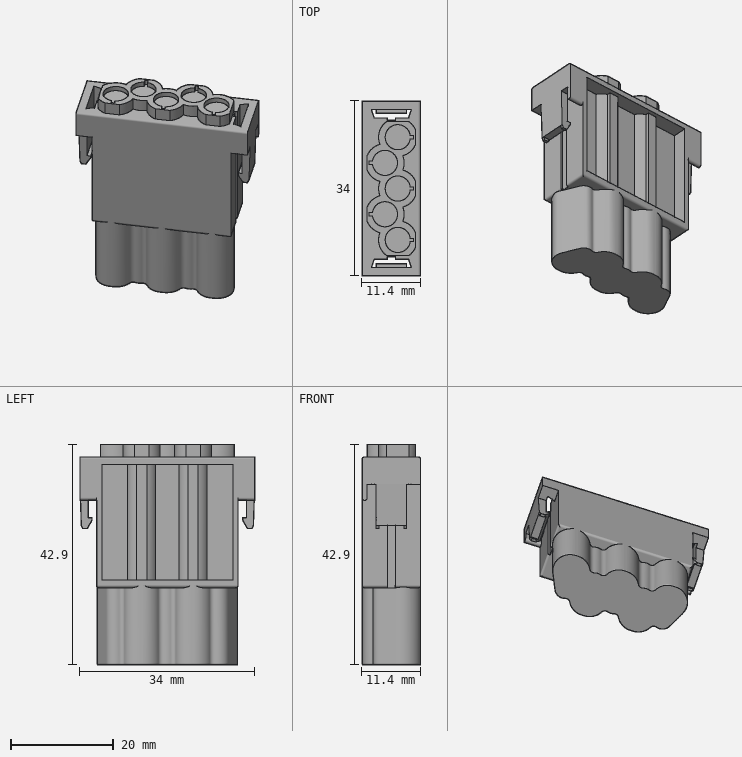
import cadquery as cq
import math

WIDTH = 11.4
LENGTH = 34.0
HEIGHT = 42.9

ROW_SPAN = 20.0
PITCH = ROW_SPAN / 4
STAGGER = 1.25

HOUSING_BOTTOM = 14.97
SKIRT_BOTTOM = 32.0
FLANGE_BOTTOM = 35.1
FLANGE_TOP = 40.45

HOUSING_LENGTH = 27.55
EDGE_ROUND = 0.47
SKIRT_THICKNESS = 1.0
GROOVE_WIDTH = 1.6
GROOVE_DEPTH = 0.47

POCKET_LENGTH = 25.5
POCKET_BOTTOM = 16.47
POCKET_TOP = 38.95
POCKET_DEPTH = 3.0
RIB_RADIUS = 3.1
RIB_KEY_WIDTH = 2.0
RIB_KEY_DEPTH = 0.8

COLLAR_RADIUS = 3.75
COLLAR_WIDTH = 9.4
COLLAR_LENGTH = 26.1
BORE_DIAMETER = 4.9
BORE_DEPTH = 1.0
KEY_WIDTH = 0.65
KEY_REACH = 3.1

PLUG_HEIGHT = HOUSING_BOTTOM + EDGE_ROUND
LOBE_RADIUS = 3.4
LOBE_TIP_FLAT = 0.6
BUMP_DIAMETER = 4.0
BUMP_CENTER_X = 1.6
VALLEY_ROUND = 0.85
VALLEY_INNER_X = 2.8
VALLEY_OUTER_X = 3.85
RIM_BEVEL_HEIGHT = 0.3
RIM_BEVEL_INSET = 0.065

SLOT_OUTER_WIDTH = 7.72
SLOT_INNER_WIDTH = 6.65
LATCH_WIDTH = 5.9
LATCH_INNER_Y = 15.35
LATCH_TIP_OUTER_Y = 16.77
LATCH_BOTTOM = 26.5
LATCH_TIP_CHAMFER = 0.6
BARB_TIP_Y = 14.65
BARB_TOP = 28.6
BARB_LIP = 0.47
BARB_TOE_Y = 15.57
TIP_GAP_WIDTH = 4.9

HALF_WIDTH = WIDTH / 2
HALF_LENGTH = LENGTH / 2
HOUSING_END = HOUSING_LENGTH / 2

CONTACTS = [(1, -2), (-1, -1), (1, 0), (-1, 1), (1, 2)]


def block(x0, x1, y0, y1, z0, z1):
    """Axis-aligned box between two corners."""
    return cq.Workplane("XY").box(x1 - x0, y1 - y0, z1 - z0, centered=False).translate((x0, y0, z0))


def cylinder(x, y, radius, z0, z1):
    """Vertical cylinder between two levels."""
    return cq.Workplane("XY", origin=(x, y, z0)).circle(radius).extrude(z1 - z0)


def both_ends(shape):
    """The shape at the +Y end together with its mirror image at the -Y end."""
    return shape.union(shape.mirror("XZ"))


def make_housing():
    """Central block, rounded along its lower edges."""
    housing = block(-HALF_WIDTH, HALF_WIDTH, -HOUSING_END, HOUSING_END, HOUSING_BOTTOM, FLANGE_TOP)
    return housing.faces("<Z").edges().fillet(EDGE_ROUND)


def make_flange():
    """Top flange with a skirt hanging down along its -X side."""
    skirt_x = SKIRT_THICKNESS - HALF_WIDTH
    skirt = block(-HALF_WIDTH, skirt_x, -HALF_LENGTH, HALF_LENGTH, SKIRT_BOTTOM, FLANGE_TOP)
    skirt = skirt.faces("<Z").edges("|Y").fillet(EDGE_ROUND)
    flange = block(-HALF_WIDTH, HALF_WIDTH, -HALF_LENGTH, HALF_LENGTH, FLANGE_BOTTOM, FLANGE_TOP)
    return flange.union(skirt)


def make_slot():
    """Trapezoidal latch slot through the +Y end of the flange."""
    outline = [
        (-SLOT_INNER_WIDTH / 2, HOUSING_END),
        (SLOT_INNER_WIDTH / 2, HOUSING_END),
        (SLOT_OUTER_WIDTH / 2, LATCH_INNER_Y),
        (-SLOT_OUTER_WIDTH / 2, LATCH_INNER_Y),
    ]
    slot = cq.Workplane("XY", origin=(0, 0, FLANGE_BOTTOM)).polyline(outline).close()
    return slot.extrude(FLANGE_TOP - FLANGE_BOTTOM)


def make_groove():
    """Guide groove down the +Y end of the housing."""
    half = GROOVE_WIDTH / 2
    return block(-half, half, HOUSING_END - GROOVE_DEPTH, HOUSING_END, HOUSING_BOTTOM, FLANGE_TOP)


def make_latch():
    """Tapered latch arm with an inward barb and a forked tip, at the +Y end."""
    profile = [
        (LATCH_INNER_Y, FLANGE_BOTTOM),
        (HALF_LENGTH, FLANGE_BOTTOM),
        (LATCH_TIP_OUTER_Y, LATCH_BOTTOM + LATCH_TIP_CHAMFER),
        (LATCH_TIP_OUTER_Y - LATCH_TIP_CHAMFER / 2, LATCH_BOTTOM),
        (BARB_TOE_Y, LATCH_BOTTOM),
        (BARB_TIP_Y, BARB_TOP - BARB_LIP),
        (BARB_TIP_Y, BARB_TOP),
        (LATCH_INNER_Y, BARB_TOP),
    ]
    arm = cq.Workplane("YZ").polyline(profile).close().extrude(LATCH_WIDTH / 2, both=True)
    gap = block(-TIP_GAP_WIDTH / 2, TIP_GAP_WIDTH / 2, HOUSING_END, HALF_LENGTH,
                LATCH_BOTTOM, LATCH_BOTTOM + LATCH_TIP_CHAMFER)
    return arm.cut(gap)


def make_pocket():
    """Recess in the -X side with two round ribs left standing, each carrying a flat key rail."""
    half = POCKET_LENGTH / 2
    half_key = RIB_KEY_WIDTH / 2
    floor_x = POCKET_DEPTH - HALF_WIDTH
    key_x = RIB_KEY_DEPTH - HALF_WIDTH
    pocket = block(-HALF_WIDTH, floor_x, -half, half, POCKET_BOTTOM, POCKET_TOP)
    for side, row in CONTACTS:
        if side < 0:
            y = row * PITCH
            rib = cylinder(-STAGGER, y, RIB_RADIUS, POCKET_BOTTOM, POCKET_TOP)
            key = block(key_x, floor_x, y - half_key, y + half_key, POCKET_BOTTOM, POCKET_TOP)
            pocket = pocket.cut(rib).cut(key)
    return pocket


def make_collar():
    """Five merged rings trimmed flat, each with a shallow keyed recess."""
    rings = cq.Workplane("XY")
    recesses = cq.Workplane("XY")
    recess_floor = HEIGHT - BORE_DEPTH
    half_key = KEY_WIDTH / 2
    for side, row in CONTACTS:
        x = side * STAGGER
        y = row * PITCH
        rings = rings.union(cylinder(x, y, COLLAR_RADIUS, FLANGE_TOP, HEIGHT))
        key_x0, key_x1 = sorted((x, x + side * KEY_REACH))
        key = block(key_x0, key_x1, y - half_key, y + half_key, recess_floor, HEIGHT)
        bore = cylinder(x, y, BORE_DIAMETER / 2, recess_floor, HEIGHT)
        recesses = recesses.union(bore).union(key)
    half_width = COLLAR_WIDTH / 2
    half_length = COLLAR_LENGTH / 2
    trim = block(-half_width, half_width, -half_length, half_length, FLANGE_TOP, HEIGHT)
    return trim.intersect(rings).cut(recesses)


def tangent_hull(x0, y0, r0, x1, y1, r1):
    """Upright solid of plug height around two circles and their outer tangent lines."""
    heading = math.atan2(y1 - y0, x1 - x0)
    spread = math.acos((r0 - r1) / math.hypot(x1 - x0, y1 - y0))

    def rim_point(x, y, r, angle):
        return (x + r * math.cos(angle), y + r * math.sin(angle))

    tangent_points = [
        rim_point(x0, y0, r0, heading + spread),
        rim_point(x1, y1, r1, heading + spread),
        rim_point(x1, y1, r1, heading - spread),
        rim_point(x0, y0, r0, heading - spread),
    ]
    hull = cq.Workplane("XY").polyline(tangent_points).close().extrude(PLUG_HEIGHT)
    hull = hull.union(cylinder(x0, y0, r0, 0, PLUG_HEIGHT))
    return hull.union(cylinder(x1, y1, r1, 0, PLUG_HEIGHT))


def make_plug():
    """Lobed lower plug: a wide lobe on one side of each contact, a narrow bump on the other."""
    half_tip = LOBE_TIP_FLAT / 2
    plug = cq.Workplane("XY")
    for side, row in CONTACTS:
        y = row * PITCH
        lobe_x = side * (HALF_WIDTH - LOBE_RADIUS)
        bump_x = -side * BUMP_CENTER_X
        for tip_y in (y - half_tip, y + half_tip):
            plug = plug.union(tangent_hull(bump_x, y, BUMP_DIAMETER / 2, lobe_x, tip_y, LOBE_RADIUS))
        tip_x0, tip_x1 = sorted((0, side * HALF_WIDTH))
        plug = plug.union(block(tip_x0, tip_x1, y - half_tip, y + half_tip, 0, PLUG_HEIGHT))
    plug = plug.clean()
    for side in (-1, 1):
        near = (side * VALLEY_INNER_X, -HOUSING_END, 0)
        far = (side * VALLEY_OUTER_X, HOUSING_END, PLUG_HEIGHT)
        valleys = cq.selectors.BoxSelector(near, far)
        plug = plug.edges("|Z").edges(valleys).fillet(VALLEY_ROUND)
    return plug.faces("<Z").chamfer(RIM_BEVEL_INSET, RIM_BEVEL_HEIGHT)


body = make_housing().union(make_flange())
body = body.edges("|Y and >Z").fillet(EDGE_ROUND)
body = body.cut(both_ends(make_slot())).cut(both_ends(make_groove())).cut(make_pocket())
result = body.union(both_ends(make_latch())).union(make_collar()).union(make_plug())